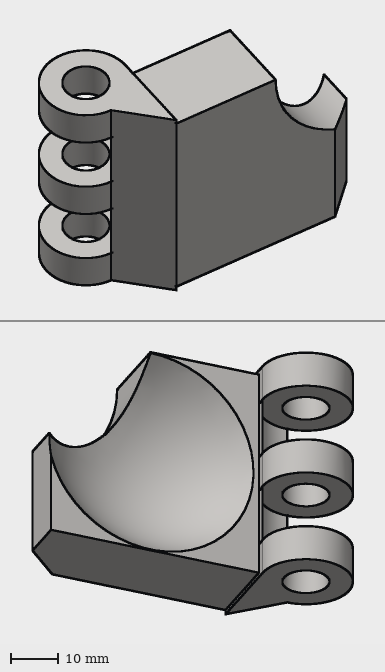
import cadquery as cq

total_length = 68.0
hinge_height = 50.0
knuckle_radius = 10.0
bore_diameter = 10.0
knuckle_height = 8.0
knuckle_count = 3
arm_left = 2.0
arm_right = 2 * knuckle_radius
arm_inset = 1.0
end_chamfer = 8.0
corner_radius = 24.0
cup_center_y = 35.0
cup_center_x = -16.0
cup_sphere_radius = 29.8

arm_start = knuckle_radius
arm_end = total_length - knuckle_radius
arm_height = hinge_height - 2 * arm_inset
arm_top = hinge_height - arm_inset
knuckle_pitch = (hinge_height - knuckle_height) / (knuckle_count - 1)
gap_height = knuckle_pitch - knuckle_height


def make_hinge():
    """Full-height barrel with a triangular web, bored and split into knuckles."""
    barrel = cq.Workplane("XY").circle(knuckle_radius).extrude(hinge_height)
    web = (
        cq.Workplane("XY")
        .polyline([(0, 0), (knuckle_radius, 0), (arm_right, arm_start), (0, arm_start)])
        .close()
        .extrude(hinge_height)
    )
    hinge = barrel.union(web)
    bore = cq.Workplane("XY").circle(bore_diameter / 2).extrude(hinge_height)
    hinge = hinge.cut(bore)

    for index in range(knuckle_count - 1):
        gap_bottom = index * knuckle_pitch + knuckle_height
        gap = (
            cq.Workplane("XY")
            .workplane(offset=gap_bottom)
            .circle(knuckle_radius)
            .extrude(gap_height)
        )
        hinge = hinge.cut(gap)
    return hinge


def make_arm():
    """Block with a chamfered outer end, a round corner cutout and a spherical cup."""
    arm = (
        cq.Workplane("XY")
        .workplane(offset=arm_inset)
        .moveTo(arm_left, arm_start)
        .lineTo(arm_right, arm_start)
        .lineTo(arm_right, arm_end - end_chamfer)
        .lineTo(arm_right - end_chamfer, arm_end)
        .lineTo(arm_left, arm_end)
        .close()
        .extrude(arm_height)
    )
    corner_cutout = (
        cq.Workplane("YZ")
        .center(cup_center_y + corner_radius, arm_top)
        .circle(corner_radius)
        .extrude(arm_right)
    )
    cup = cq.Workplane("XY").sphere(cup_sphere_radius).rotate((0, 0, 0), (0, 0, 1), 180)
    cup = cup.translate((cup_center_x, cup_center_y, hinge_height / 2))
    return arm.cut(corner_cutout).cut(cup)


result = make_hinge().union(make_arm())